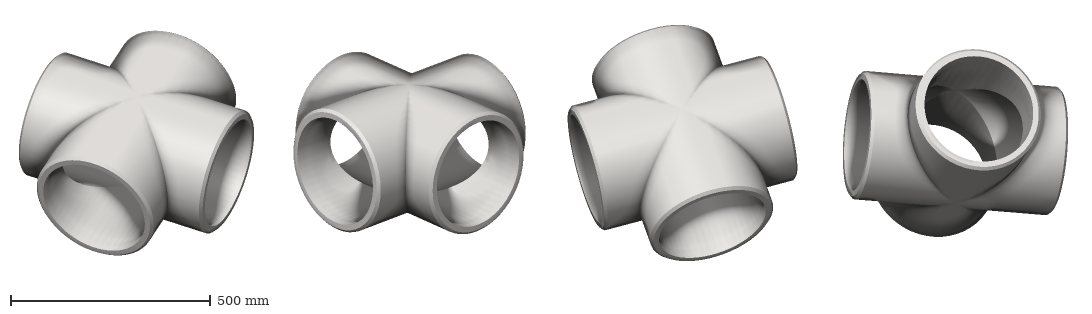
import cadquery as cq

outer_diameter = 323.85
wall_thickness = 21.44
end_to_end = 508.0

bore_diameter = outer_diameter - 2 * wall_thickness
bevel = wall_thickness / 3


def centred_cylinder(plane, diameter):
    """Full-length cylinder along the normal of the plane, centred on the origin."""
    return cq.Workplane(plane).circle(diameter / 2).extrude(end_to_end / 2, both=True)


def bevelled_run(plane, end_faces):
    """Solid straight run with both end edges bevelled."""
    return centred_cylinder(plane, outer_diameter).faces(end_faces).chamfer(bevel)


outer_body = bevelled_run("YZ", "|X").union(bevelled_run("XZ", "|Y"))
bores = centred_cylinder("YZ", bore_diameter).union(centred_cylinder("XZ", bore_diameter))

result = outer_body.cut(bores)